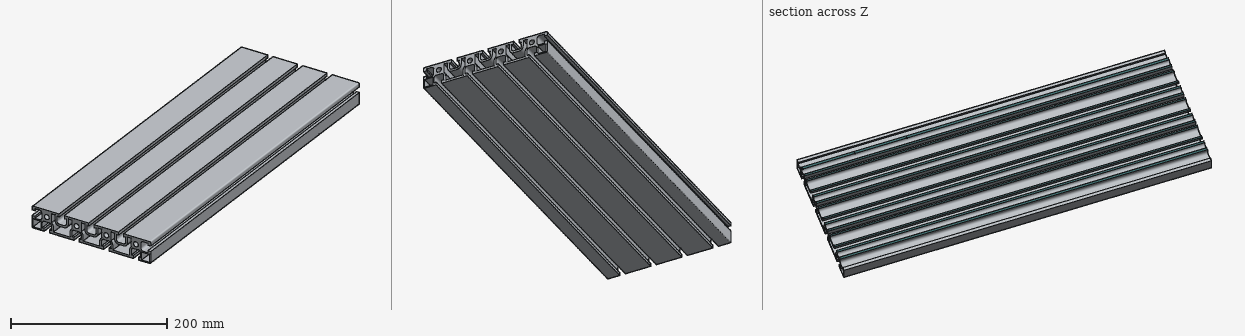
import cadquery as cq

WIDTH = 180.0
LENGTH = 500.0
HEIGHT = 32.0
PITCH = 45.0
CORNER_RADIUS = 2.0

SLOT_OPENING = 8.0
SLOT_INNER_WIDTH = 14.0
SLOT_DEPTH = 14.8
LIP_DEPTH = 4.5
SLOT_RADIUS = 3.5
SIDE_SLOT_DROP = 10.0

SLOT_WALL = 3.0
BOTTOM_WALL_RADIUS = 8.0
SKIN = 3.2
CORNER_WALL = 1.75
CORE_WIDTH = 14.3
BORE_DIAMETER = 7.2

TOP = HEIGHT / 2
BOTTOM = -HEIGHT / 2
SIDE = WIDTH / 2
BORE_Z = TOP - SIDE_SLOT_DROP
CORE_XS = [-1.5 * PITCH, -0.5 * PITCH, 0.5 * PITCH, 1.5 * PITCH]
TOP_SLOT_XS = [-PITCH, 0.0, PITCH]
TOP_WALL_RADIUS = SLOT_RADIUS + SLOT_WALL


def section():
    """Sketch plane of the profile: local x is X, local y is Z, centred along Y."""
    return cq.Workplane("XZ", origin=(0, LENGTH / 2, 0))


def box(x_min, x_max, z_min, z_max):
    """Full-length bar with a rectangular section."""
    centre = ((x_min + x_max) / 2, (z_min + z_max) / 2)
    return section().center(*centre).rect(x_max - x_min, z_max - z_min).extrude(LENGTH)


def channel(half_width, depth, radius):
    """Full-length bar reaching down from z = 0, with its two lower corners rounded."""
    bar = box(-half_width, half_width, -depth, 0)
    return bar.faces("<Z").edges("|Y").fillet(radius)


def t_slot():
    """Space of one T-slot that opens upward at z = 0."""
    inner = channel(SLOT_INNER_WIDTH / 2, SLOT_DEPTH, SLOT_RADIUS)
    inner = inner.intersect(box(-SIDE, SIDE, -HEIGHT, -LIP_DEPTH))
    return inner.union(box(-SLOT_OPENING / 2, SLOT_OPENING / 2, -SLOT_DEPTH / 2, 0))


def slot_wall(radius):
    """T-slot space together with the wall wrapped around it."""
    return channel(SLOT_INNER_WIDTH / 2 + SLOT_WALL, SLOT_DEPTH + SLOT_WALL, radius)


def place(shape, x, z, turn):
    """Turn an upward-opening shape about Y and move its mouth to (x, z)."""
    return shape.rotate((0, 0, 0), (0, 1, 0), turn).translate((x, 0, z))


def middle_cavity(x):
    """Hollow under one top slot, between two neighbouring cores."""
    half_span = (PITCH - CORE_WIDTH) / 2
    cavity = box(x - half_span, x + half_span, BOTTOM + SKIN, TOP - SKIN)
    cavity = cavity.cut(place(slot_wall(TOP_WALL_RADIUS), x, TOP, 0))
    lower_wall = slot_wall(BOTTOM_WALL_RADIUS)
    for side in (-1, 1):
        cavity = cavity.cut(place(lower_wall, x + side * PITCH / 2, BOTTOM, 180))
    return cavity


def corner_cavity(side):
    """Rectangular hollow in a lower corner, below the side slot."""
    outer = side * (SIDE - CORNER_WALL)
    inner = side * (CORE_XS[-1] + SLOT_INNER_WIDTH / 2 + CORNER_WALL)
    top = BORE_Z - SLOT_INNER_WIDTH / 2 - CORNER_WALL
    return box(min(outer, inner), max(outer, inner), BOTTOM + CORNER_WALL, top)


profile = box(-SIDE, SIDE, BOTTOM, TOP).edges("|Y").fillet(CORNER_RADIUS)

for slot_x in TOP_SLOT_XS:
    profile = profile.cut(middle_cavity(slot_x))
    profile = profile.cut(place(t_slot(), slot_x, TOP, 0))

for core_x in CORE_XS:
    profile = profile.cut(place(t_slot(), core_x, BOTTOM, 180))

for side in (-1, 1):
    profile = profile.cut(place(t_slot(), side * SIDE, BORE_Z, side * 90))
    profile = profile.cut(corner_cavity(side))

bore_points = [(x, BORE_Z) for x in CORE_XS]
bores = section().pushPoints(bore_points).circle(BORE_DIAMETER / 2).extrude(LENGTH)

result = profile.cut(bores)